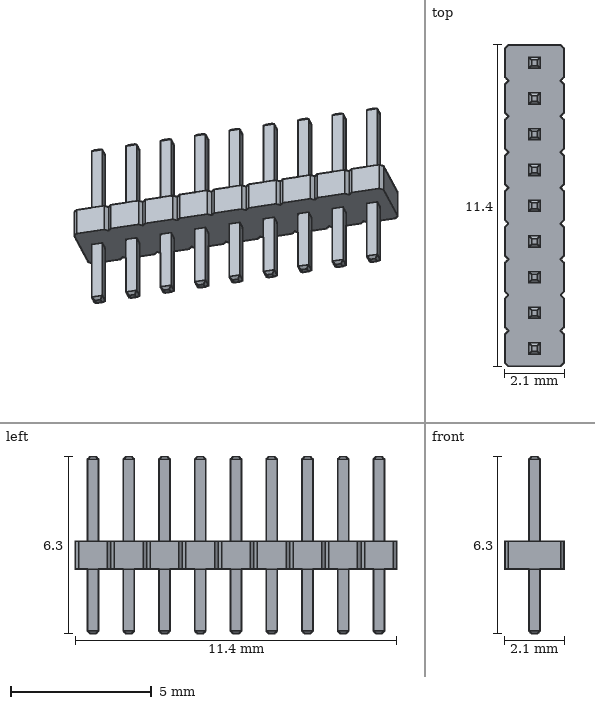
import cadquery as cq

PIN_COUNT = 9
ROW_LENGTH = 11.43
PITCH = ROW_LENGTH / PIN_COUNT
HOUSING_WIDTH = 2.1
HOUSING_HEIGHT = 1.0
CELL_CHAMFER = 0.13

PIN_SIDE = 0.4
PIN_LENGTH = 6.3
PIN_BELOW_HOUSING = 2.3
TIP_CHAMFER = 0.1


def housing_cell(center_y):
    """One housing block with its four vertical edges chamfered, standing on Z = 0."""
    return (
        cq.Workplane("XY")
        .box(HOUSING_WIDTH, PITCH, HOUSING_HEIGHT, centered=(True, True, False))
        .edges("|Z")
        .chamfer(CELL_CHAMFER)
        .translate((0, center_y, 0))
    )


def pin(center_y):
    """One square pin with both ends chamfered all round."""
    return (
        cq.Workplane("XY")
        .box(PIN_SIDE, PIN_SIDE, PIN_LENGTH, centered=(True, True, False))
        .faces("<Z or >Z")
        .chamfer(TIP_CHAMFER)
        .translate((0, center_y, -PIN_BELOW_HOUSING))
    )


first_center_y = (PITCH - ROW_LENGTH) / 2
pin_centers = [first_center_y + index * PITCH for index in range(PIN_COUNT)]

result = housing_cell(pin_centers[0])
for center_y in pin_centers[1:]:
    result = result.union(housing_cell(center_y))
for center_y in pin_centers:
    result = result.union(pin(center_y))
result = result.clean()